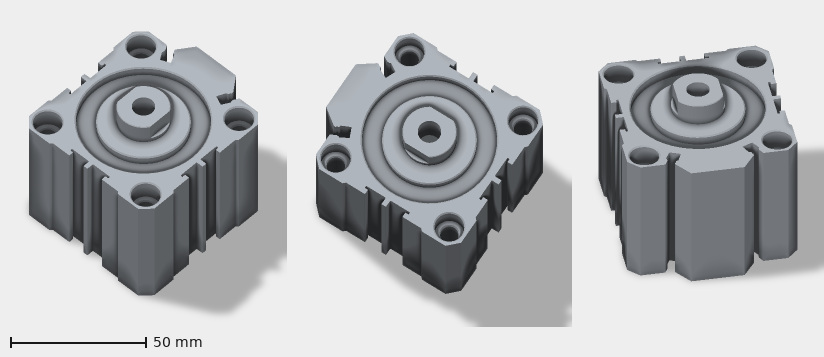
import cadquery as cq


body_width = 64.0
body_half = body_width / 2
body_height = 50.5
corner_chamfer = 4.2
edge_break = 0.5

relief_depth = 0.9
relief_half_width = 17.5
slot_mouth_half = 8.25
slot_undercut_half = 9.65
slot_depth = 3.9
slot_undercut_height = 0.9
rib_width = 2.0
slot_edge_round = 0.2

total_depth = 71.0
rail_rear_y = total_depth - body_half
rail_top_half = 10.0
rail_hip_half = 14.8
rail_hip_y = 32.5
rail_slot_mouth_x = 18.45

recess_diameter = 50.0
recess_depth = 4.1
boss_diameter = 35.0
boss_drop = 0.5

mount_pitch = 50.0
mount_hole_diameter = 6.8
mount_bore_diameter = 11.0
mount_bore_depth = 8.0

rod_diameter = 20.0
rod_top_z = 58.5
rod_insert_depth = 19.9
rod_flat_width = 17.0
rod_flat_height = 6.7
rod_chamfer = 0.3
thread_diameter = 8.65
thread_depth = 15.0

boss_face_z = body_height - boss_drop
rod_bottom_z = boss_face_z - rod_insert_depth


def cylinder(diameter, bottom_z, top_z):
    return cq.Workplane("XY").workplane(offset=bottom_z).circle(diameter / 2).extrude(top_z - bottom_z)


def make_block():
    block = cq.Workplane("XY").rect(body_width, body_width).extrude(body_height)
    return block.edges("|Z").chamfer(corner_chamfer)


def make_face_slot():
    """Cutter for the front (-Y) face: shallow relief plus undercut slot, less the central rib."""
    face_y = -body_half
    relief_y = face_y + relief_depth
    floor_y = face_y + slot_depth
    lip_y = floor_y - slot_undercut_height
    relief_inner_half = relief_half_width - relief_depth
    relief = (
        cq.Workplane("XY")
        .polyline([
            (-relief_half_width, face_y),
            (relief_half_width, face_y),
            (relief_inner_half, relief_y),
            (-relief_inner_half, relief_y),
        ])
        .close()
        .extrude(body_height)
    )
    slot = (
        cq.Workplane("XY")
        .polyline([
            (-slot_mouth_half, face_y),
            (slot_mouth_half, face_y),
            (slot_mouth_half, lip_y),
            (slot_undercut_half, lip_y),
            (slot_undercut_half, floor_y),
            (-slot_undercut_half, floor_y),
            (-slot_undercut_half, lip_y),
            (-slot_mouth_half, lip_y),
        ])
        .close()
        .extrude(body_height)
    )
    rib_length = floor_y - relief_y
    rib = (
        cq.Workplane("XY")
        .center(0, relief_y + rib_length / 2)
        .rect(rib_width, rib_length)
        .extrude(body_height)
    )
    cutter = relief.union(slot).cut(rib)
    margin = slot_edge_round
    rounded_edges = cq.selectors.BoxSelector(
        (-slot_mouth_half - margin, relief_y - margin, 0),
        (slot_mouth_half + margin, floor_y + margin, body_height),
    )
    return cutter.edges("|Z").edges(rounded_edges).fillet(slot_edge_round)


def make_rail():
    """Rear rail: flat back, sloping shoulders down to its hips, foot inside the block."""
    foot_y = body_half - corner_chamfer
    return (
        cq.Workplane("XY")
        .polyline([
            (-rail_hip_half, foot_y),
            (rail_hip_half, foot_y),
            (rail_hip_half, rail_hip_y),
            (rail_top_half, rail_rear_y),
            (-rail_top_half, rail_rear_y),
            (-rail_hip_half, rail_hip_y),
        ])
        .close()
        .extrude(body_height)
    )


def make_rail_slot():
    """Cutter for the angled slot on the -X side of the rail, with a small lip on each wall."""
    return (
        cq.Workplane("XY")
        .polyline([
            (-rail_slot_mouth_x, body_half),
            (-17.25, 29.8),
            (-17.25, 28.7),
            (-17.55, 28.4),
            (-15.55, 25.05),
            (-11.6, 26.8),
            (-13.3, 30.45),
            (-14.2, 30.6),
            (-14.3, 31.4),
            (-rail_hip_half, 31.8),
            (-rail_hip_half, rail_hip_y),
            (-rail_slot_mouth_x, rail_hip_y),
        ])
        .close()
        .extrude(body_height)
    )


def edge_break_cone(hole_diameter, top_z):
    """Cutter that flares the mouth of a hole of the given diameter at height top_z."""
    radius = hole_diameter / 2
    cone = cq.Solid.makeCone(radius, radius + edge_break, edge_break)
    return cq.Workplane(cone).translate((0, 0, top_z - edge_break))


def make_recess():
    """Cutter for the annular recess, which leaves the chamfered boss standing in its centre."""
    floor_z = body_height - recess_depth
    bore = cylinder(recess_diameter, floor_z, body_height)
    boss = cylinder(boss_diameter, floor_z, boss_face_z).faces(">Z").chamfer(edge_break)
    return bore.union(edge_break_cone(recess_diameter, body_height)).cut(boss)


def make_mount_hole():
    """Cutter for one counterbored through hole, with broken edges at both mouths."""
    floor_z = body_height - mount_bore_depth
    hole = cylinder(mount_hole_diameter, 0, body_height)
    hole = hole.union(cylinder(mount_bore_diameter, floor_z, body_height))
    hole = hole.union(edge_break_cone(mount_bore_diameter, body_height))
    return hole.union(edge_break_cone(mount_hole_diameter, floor_z))


def make_housing():
    housing = make_block().union(make_rail())
    for angle in (-90, 0, 90):
        housing = housing.cut(make_face_slot().rotate((0, 0, 0), (0, 0, 1), angle))
    rail_slot = make_rail_slot()
    housing = housing.cut(rail_slot).cut(rail_slot.mirror("YZ"))
    housing = housing.cut(make_recess())
    mount_hole = make_mount_hole()
    for x in (-mount_pitch / 2, mount_pitch / 2):
        for y in (-mount_pitch / 2, mount_pitch / 2):
            housing = housing.cut(mount_hole.translate((x, y, 0)))
    return housing.cut(cylinder(rod_diameter, rod_bottom_z, body_height))


def make_rod():
    """Rod with a threaded end hole and two wrench flats facing -X and +X."""
    rod = cylinder(rod_diameter, rod_bottom_z, rod_top_z).faces(">Z").chamfer(rod_chamfer)
    rod = rod.cut(cylinder(thread_diameter, rod_top_z - thread_depth, rod_top_z))
    flat_inset = (rod_diameter - rod_flat_width) / 2
    flat_centre_x = (rod_flat_width + flat_inset) / 2
    flats = (
        cq.Workplane("XY")
        .workplane(offset=rod_top_z - rod_flat_height)
        .pushPoints([(-flat_centre_x, 0), (flat_centre_x, 0)])
        .rect(flat_inset, rod_diameter)
        .extrude(rod_flat_height)
    )
    return rod.cut(flats)


housing = make_housing()
rod = make_rod()

result = cq.Compound.makeCompound([housing.val(), rod.val()])